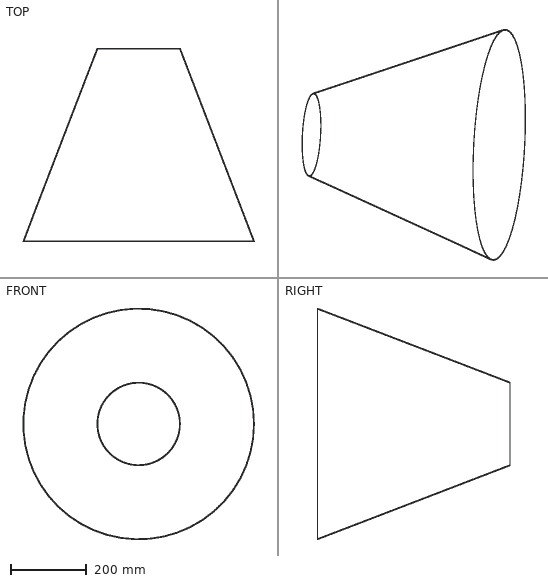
import cadquery as cq

wide_radius = 305.0
narrow_radius = 110.0
length = 508.0
wall = 2.0

wide_y = -length / 2
narrow_y = length / 2

wall_section = [
    (wide_radius - wall, wide_y),
    (wide_radius, wide_y),
    (narrow_radius, narrow_y),
    (narrow_radius - wall, narrow_y),
]

result = cq.Workplane("XY").polyline(wall_section).close().revolve(360, (0, 0, 0), (0, 1, 0))